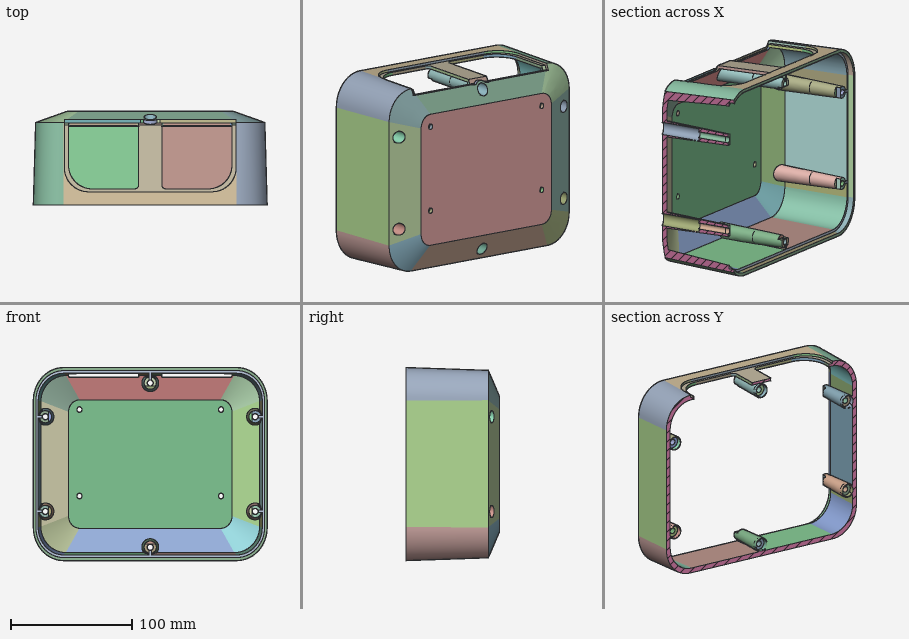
import cadquery as cq
import math

DEPTH = 77.36
SHOULDER_Y = 68.0
OUTER_RIM = (192.82 / 2, 159.23 / 2, 25.1, 27.6)
OUTER_SHOULDER = (94.5, 77.3, 23.1, 24.9)
OUTER_BACK = (68.3, 55.55, 9.9, 10.7)

CAVITY_END_Y = 73.4
CAVITY_SHOULDER_Y = 64.6
INNER_RIM = (92.5, 75.0, 21.2, 22.8)
INNER_SHOULDER = (90.0, 72.9, 20.7, 21.2)
INNER_BACK = (67.3, 52.9, 9.3, 10.0)

SEAT_DEPTH = 5.2
SEAT = (94.2, 77.0, 22.9, 24.8)

RECESS_HALF_WIDTH = 70.8
RECESS_FRONT_Y = 10.9
RECESS_CORNER = 20.0
RECESS_DEPTH = 2.0
RECESS_BEND_Y = 65.8
RECESS_SILL_Y = 67.4
RECESS_SILL_Z = 71.8

BRIDGE_HALF_WIDTH = 9.5
WINDOW_OUTER_X = 67.3
WINDOW_FRONT_Y = 13.3
WINDOW_SILL_Z = 71.2
WINDOW_OUTER_CORNER = 19.5
WINDOW_INNER_CORNER = 3.4
WINDOW_SILL_FILLET = 1.6

DIP_HALF_WIDTH = 8.2
DIP_DEPTH = 0.5

SIDE_POST_X = 86.4
SIDE_POST_Z = 39.0
TOP_POST_Z = 66.8
BOTTOM_POST_Z = -68.5
POST_TIP_Y = 6.0
POST_TIP_RADIUS = 5.0
POST_BASE_RADIUS = 7.3
SCREW_RADIUS = 2.4
HEAD_BORE_RADIUS = 5.0
HEAD_BORE_END_Y = 35.0
NOTCH_OFFSET = 2.5
NOTCH_DEPTH = 4.0
RIB_WIDTH = 2.0
RIB_END_Y = SEAT_DEPTH

MOUNT_X = 58.3
MOUNT_TOP_Z = 44.9
MOUNT_BOTTOM_Z = -26.3
MOUNT_RADIUS_X = 2.0
MOUNT_RADIUS_Z = 2.2

CLEARANCE = 5.0


def section(y, size):
    """Closed rounded-rectangle wire with elliptical corners in the plane at y."""
    half_x, half_z, radius_x, radius_z = size
    center_x = half_x - radius_x
    center_z = half_z - radius_z
    corners = []
    for start_angle, sign_x, sign_z in ((0, 1, 1), (90, -1, 1), (180, -1, -1), (270, 1, -1)):
        center = cq.Vector(sign_x * center_x, y, sign_z * center_z)
        corner = cq.Edge.makeEllipse(
            radius_x, radius_z, center, cq.Vector(0, -1, 0), cq.Vector(1, 0, 0),
            start_angle, start_angle + 90,
        )
        corners.append(corner)
    edges = []
    for corner, following in zip(corners, corners[1:] + corners[:1]):
        edges.append(corner)
        edges.append(cq.Edge.makeLine(corner.endPoint(), following.startPoint()))
    return cq.Wire.assembleEdges(edges)


def frustum(y_start, size_start, y_end, size_end):
    wires = [section(y_start, size_start), section(y_end, size_end)]
    return cq.Workplane(obj=cq.Solid.makeLoft(wires, True))


def cylinder_y(x, z, radius, y_start, y_end):
    direction = cq.Vector(0, 1, 0)
    return cq.Workplane(
        obj=cq.Solid.makeCylinder(radius, y_end - y_start, cq.Vector(x, y_start, z), direction)
    )


def make_envelope():
    walls = frustum(0, OUTER_RIM, SHOULDER_Y, OUTER_SHOULDER)
    return walls.union(frustum(SHOULDER_Y, OUTER_SHOULDER, DEPTH, OUTER_BACK))


def make_cavity():
    main = frustum(0, INNER_RIM, CAVITY_SHOULDER_Y, INNER_SHOULDER)
    end = frustum(CAVITY_SHOULDER_Y, INNER_SHOULDER, CAVITY_END_Y, INNER_BACK)
    return main.union(end).union(frustum(0, SEAT, SEAT_DEPTH, SEAT))


def top_wall_z(y):
    """Height of the outer top wall, which leans inward toward the shoulder."""
    return OUTER_RIM[1] + (OUTER_SHOULDER[1] - OUTER_RIM[1]) * y / SHOULDER_Y


def make_recess():
    far_y = DEPTH + CLEARANCE
    far_z = OUTER_RIM[1] + CLEARANCE
    profile = [
        (RECESS_FRONT_Y, top_wall_z(RECESS_FRONT_Y) - RECESS_DEPTH),
        (RECESS_BEND_Y, top_wall_z(RECESS_BEND_Y) - RECESS_DEPTH),
        (RECESS_SILL_Y, RECESS_SILL_Z),
        (far_y, RECESS_SILL_Z),
        (far_y, far_z),
        (RECESS_FRONT_Y, far_z),
    ]
    recess = cq.Workplane("YZ").polyline(profile).close().extrude(RECESS_HALF_WIDTH, both=True)
    return recess.edges("|Z and <Y").fillet(RECESS_CORNER)


def make_window(side):
    size_x = WINDOW_OUTER_X - BRIDGE_HALF_WIDTH
    size_y = RECESS_SILL_Y - WINDOW_FRONT_Y
    size_z = OUTER_RIM[1] + CLEARANCE - WINDOW_SILL_Z
    window = cq.Workplane("XY").box(size_x, size_y, size_z, centered=False)
    window = window.translate((BRIDGE_HALF_WIDTH, WINDOW_FRONT_Y, WINDOW_SILL_Z))
    window = window.edges("|Z and <Y and >X").fillet(WINDOW_OUTER_CORNER)
    window = window.edges("|Z and <Y and <X").fillet(WINDOW_INNER_CORNER)
    window = window.edges("|Y and <Z").fillet(WINDOW_SILL_FILLET)
    return window if side > 0 else window.mirror("YZ")


def make_sill_dip():
    """Box centred on the sill surface, so that its lower half forms the dip."""
    size_y = DEPTH - RECESS_SILL_Y
    dip = cq.Workplane("XY").box(2 * DIP_HALF_WIDTH, size_y, 2 * DIP_DEPTH)
    return dip.translate((0, RECESS_SILL_Y + size_y / 2, RECESS_SILL_Z))


def wall_direction(x, z):
    """Unit direction (X, Z) from a post toward its nearest wall."""
    if x:
        return math.copysign(1, x), 0
    return 0, math.copysign(1, z)


def make_post(x, z):
    """Tapered post with a tip notched on the side away from the wall."""
    out_x, out_z = wall_direction(x, z)
    cone = cq.Solid.makeCone(
        POST_TIP_RADIUS, POST_BASE_RADIUS, DEPTH - POST_TIP_Y,
        cq.Vector(x, POST_TIP_Y, z), cq.Vector(0, 1, 0),
    )
    notch_size = 2 * POST_BASE_RADIUS
    notch_shift = NOTCH_OFFSET + notch_size / 2
    notch = cq.Workplane("XY").box(notch_size, 2 * NOTCH_DEPTH, notch_size)
    notch = notch.translate((x - out_x * notch_shift, POST_TIP_Y, z - out_z * notch_shift))
    return cq.Workplane(obj=cone).cut(notch)


def make_rib(x, z):
    """Thin web joining a post to its wall; its end is level with the cover seat."""
    out_x, out_z = wall_direction(x, z)
    seat_reach = SEAT[0] if out_x else SEAT[1]
    length = seat_reach - (out_x * x + out_z * z)
    shift = length / 2
    size_y = CAVITY_SHOULDER_Y - RIB_END_Y
    size_x = length if out_x else RIB_WIDTH
    size_z = length if out_z else RIB_WIDTH
    rib = cq.Workplane("XY").box(size_x, size_y, size_z)
    return rib.translate((x + out_x * shift, RIB_END_Y + size_y / 2, z + out_z * shift))


def make_mount_hole(x, z):
    hole = cq.Workplane("XZ", origin=(x, DEPTH + CLEARANCE, z))
    return hole.ellipse(MOUNT_RADIUS_X, MOUNT_RADIUS_Z).extrude(DEPTH + CLEARANCE - CAVITY_SHOULDER_Y)


post_places = [(0, TOP_POST_Z), (0, BOTTOM_POST_Z)]
for post_x in (-SIDE_POST_X, SIDE_POST_X):
    for post_z in (-SIDE_POST_Z, SIDE_POST_Z):
        post_places.append((post_x, post_z))

envelope = make_envelope()
recess = make_recess()
result = envelope.cut(make_cavity()).cut(recess)
for window_side in (-1, 1):
    result = result.cut(make_window(window_side))
result = result.cut(make_sill_dip())

for post_x, post_z in post_places:
    result = result.union(make_post(post_x, post_z).intersect(envelope))
    result = result.union(make_rib(post_x, post_z).cut(recess))

for post_x, post_z in post_places:
    result = result.cut(cylinder_y(post_x, post_z, SCREW_RADIUS, -CLEARANCE, DEPTH))
    result = result.cut(
        cylinder_y(post_x, post_z, HEAD_BORE_RADIUS, HEAD_BORE_END_Y, DEPTH + CLEARANCE)
    )

for mount_x in (-MOUNT_X, MOUNT_X):
    for mount_z in (MOUNT_BOTTOM_Z, MOUNT_TOP_Z):
        result = result.cut(make_mount_hole(mount_x, mount_z))